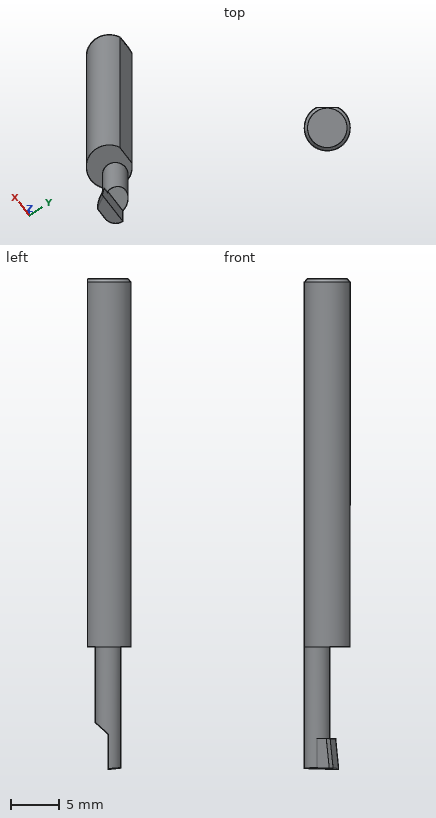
import cadquery as cq
import math


total_length = 50.79
shank_diameter = 4.76
shank_radius = shank_diameter / 2
shank_depth = 4.51
flat_y = shank_depth - shank_radius
shank_bottom = 12.69
chamfer_width = 0.34
chamfer_height = 0.38

neck_radius = 1.325
neck_x = neck_radius - shank_radius
neck_overlap = 0.5

shoulder_bottom = 3.68
shoulder_angle = 42.0

nib_height = 3.2
nib_taper = 0.32
nib_reach = 1.2
heel_x = 0.62
heel_y = -1.06
back_x = 0.22
nose_radius = 0.12

end_rise_x = 0.03
end_rise_y = 0.1

cutter_size = 4 * shank_radius


def make_shank():
    """Cylinder with a chamfered top and a full-length flat on the +Y side."""
    half_profile = (
        cq.Workplane("XZ")
        .moveTo(0, shank_bottom)
        .lineTo(shank_radius, shank_bottom)
        .lineTo(shank_radius, total_length - chamfer_height)
        .lineTo(shank_radius - chamfer_width, total_length)
        .lineTo(0, total_length)
        .close()
    )
    shank = half_profile.revolve(360, (0, 0, 0), (0, 1, 0))
    beyond_flat = cq.Workplane("XY").box(
        cutter_size, cutter_size, total_length, centered=(True, False, False)
    )
    return shank.cut(beyond_flat.translate((0, flat_y, 0)))


def make_neck():
    """Eccentric cylinder, half cut away below the sloped shoulder."""
    neck = (
        cq.Workplane("XY")
        .center(neck_x, 0)
        .circle(neck_radius)
        .extrude(shank_bottom + neck_overlap)
    )
    shoulder_run = 2 * neck_radius
    shoulder_rise = shoulder_run * math.tan(math.radians(shoulder_angle))
    cutaway = (
        cq.Workplane("YZ")
        .moveTo(0, -neck_radius)
        .lineTo(0, shoulder_bottom)
        .lineTo(shoulder_run, shoulder_bottom + shoulder_rise)
        .lineTo(shoulder_run, -neck_radius)
        .close()
        .extrude(cutter_size, both=True)
    )
    return neck.cut(cutaway)


def nib_section(shift):
    """Points of the nib section, with its relief faces moved in X by shift."""
    return [
        (neck_x, 0),
        (neck_x, -neck_radius),
        (back_x + shift, -neck_radius),
        (heel_x + shift, heel_y),
        (nib_reach + shift, 0),
    ]


def make_nib():
    """Tapered nib with two relief faces, widest at the bottom."""
    return (
        cq.Workplane("XY")
        .polyline(nib_section(0))
        .close()
        .workplane(offset=nib_height)
        .polyline(nib_section(-nib_taper))
        .close()
        .loft(ruled=True)
    )


def cut_end_relief(body):
    """Trim the bottom end with a plane that rises toward -X and -Y."""
    plane = cq.Plane(
        origin=(nib_reach, 0, 0),
        xDir=(1, 0, -end_rise_x),
        normal=(-end_rise_x, -end_rise_y, -1),
    )
    below = cq.Workplane(plane).rect(2 * cutter_size, 2 * cutter_size).extrude(cutter_size)
    return body.cut(below)


def round_nose(body):
    """Round the cutting corner between the end face and the primary relief face."""
    around_corner = cq.selectors.BoxSelector(
        (heel_x, heel_y, -nose_radius),
        (nib_reach + nose_radius, nose_radius, nib_height / 2),
    )
    return body.edges(around_corner).edges("<Z").fillet(nose_radius)


tip = cut_end_relief(make_neck().union(make_nib()))
result = make_shank().union(round_nose(tip))